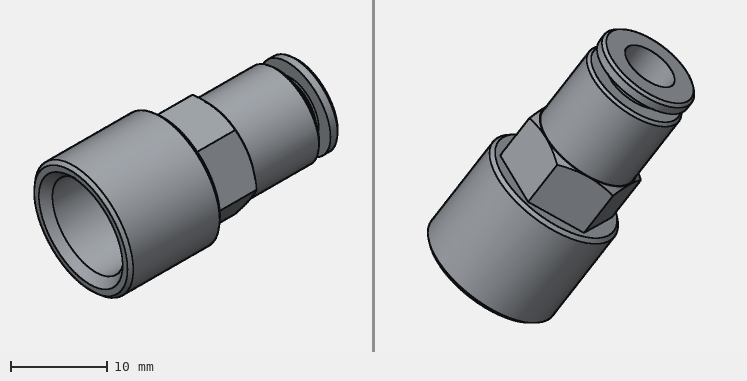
import cadquery as cq
import math

length = 30.2

socket_diameter = 16.0
socket_end = 12.5
socket_chamfer = 0.42

hex_across_flats = 12.02
hex_end = 18.5
hex_chamfer_angle = 30.0

body_diameter = 11.8
body_end = 27.57
body_chamfer = 0.33

neck_diameter = 7.3
neck_flare = 0.18
collar_diameter = 11.5
collar_thickness = 1.27
collar_chamfer = 0.33

bore_diameter = 11.6
bore_mouth_diameter = 13.6
bore_mouth_depth = 1.0
bore_depth = 10.0
drill_point_angle = 118.0
passage_diameter = 5.0
tube_diameter = 6.15
tube_depth = 13.6


def revolve_profile(points):
    """Revolve a closed (radius, Y) outline about the Y axis."""
    return cq.Workplane("XY").polyline(points).close().revolve(360, (0, 0, 0), (0, 1, 0))


def make_socket():
    radius = socket_diameter / 2
    return revolve_profile([
        (0, 0),
        (radius - socket_chamfer, 0),
        (radius, socket_chamfer),
        (radius, socket_end - socket_chamfer),
        (radius - socket_chamfer, socket_end),
        (0, socket_end),
    ])


def make_hexagon():
    """Hexagon with flats on +Z and -Z, its far corners trimmed by a cone."""
    flat_radius = hex_across_flats / 2
    corner_radius = flat_radius / math.cos(math.radians(30))
    prism = (
        cq.Workplane("XZ", origin=(0, socket_end, 0))
        .polygon(6, 2 * corner_radius)
        .extrude(socket_end - hex_end)
    )
    corner_drop = (corner_radius - flat_radius) * math.tan(math.radians(hex_chamfer_angle))
    envelope = revolve_profile([
        (0, socket_end),
        (corner_radius, socket_end),
        (corner_radius, hex_end - corner_drop),
        (flat_radius, hex_end),
        (0, hex_end),
    ])
    return prism.intersect(envelope)


def make_body():
    """Tube body with a chamfered rim."""
    radius = body_diameter / 2
    return revolve_profile([
        (0, socket_end),
        (radius, socket_end),
        (radius, body_end - body_chamfer),
        (radius - body_chamfer, body_end),
        (0, body_end),
    ])


def make_collar():
    """Release collar on its neck, flared where the two meet."""
    neck_radius = neck_diameter / 2
    radius = collar_diameter / 2
    collar_start = length - collar_thickness
    return revolve_profile([
        (0, socket_end),
        (neck_radius, socket_end),
        (neck_radius, collar_start - neck_flare),
        (neck_radius + neck_flare, collar_start),
        (radius, collar_start),
        (radius, length - collar_chamfer),
        (radius - collar_chamfer, length),
        (0, length),
    ])


def make_bores():
    """Socket bore with a drill point, through passage and tube hole."""
    bore_radius = bore_diameter / 2
    passage_radius = passage_diameter / 2
    tube_radius = tube_diameter / 2
    half_point_angle = math.radians(drill_point_angle / 2)
    point_height = (bore_radius - passage_radius) / math.tan(half_point_angle)
    tube_start = length - tube_depth
    return revolve_profile([
        (0, 0),
        (bore_mouth_diameter / 2, 0),
        (bore_radius, bore_mouth_depth),
        (bore_radius, bore_depth),
        (passage_radius, bore_depth + point_height),
        (passage_radius, tube_start),
        (tube_radius, tube_start),
        (tube_radius, length),
        (0, length),
    ])


outside = make_socket().union(make_hexagon()).union(make_body()).union(make_collar())
result = outside.cut(make_bores())